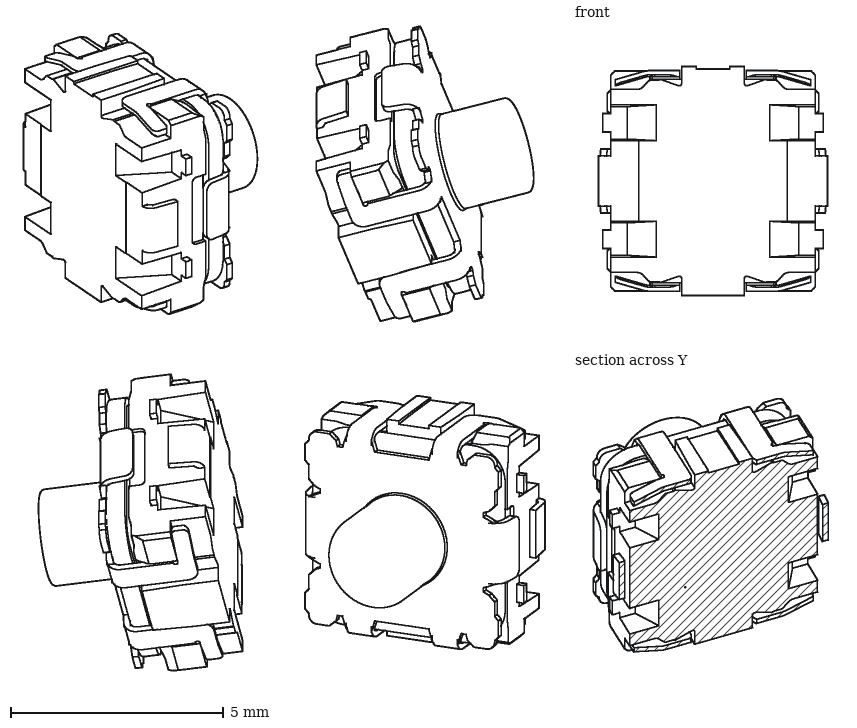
import cadquery as cq
import math


body_half_x = 2.41
corner_half_z = 2.59
wall_half_z = 2.39
body_top = 1.835
step_y = 0.84
ledge_z = 2.155
corner_chamfer = 0.095
corner_inner_x = 1.48
ledge_curve_x = 1.795
ledge_slope_start = (1.63, 2.235)
ledge_slope_end = (1.52, 2.355)
rib = ((1.465, 2.37), (1.285, 2.37))
dip_start_x = 1.235
dip = (0.82, 2.245)
dip_round_z = 2.285
bevel_profile = ((body_top, 2.415), (1.525, 2.58), (1.46, corner_half_z))
pad_drop = 0.055
pad_open = (1.745, 1.87)
pad_floor = (2.02, 2.115)

key_half_z = 2.7
key_half_x = 0.74
key_top_half_x = 0.695
key_slot_half_x = 0.39
key_slot_depth = 0.06
key_slot_top_depth = 0.08
key_slot_bend_y = 1.05

pocket_floor_y = 1.14
pocket_open_z = (0.95, 1.795)
pocket_floor_z = (0.99, 1.75)
pocket_open_x = 1.34
pocket_floor_x = 2.015
pin_thickness = 0.16
pin_z = (1.15, 1.595)
pin_half_x = 2.6

terminal_half_z = 0.595
terminal_thickness = 0.15
terminal_bottom = 0.015
terminal_bend_y = 0.26
terminal_bend_x = 2.655
terminal_tip_x = 2.7
strip_inner_x = 1.75

spacer_half = 2.16
spacer_corner = 0.43
block_bottom = 1.935
block_half = 2.4
block_corner = 0.805
block_edge_round = 0.085

cover_bottom = 2.385
cover_top = 2.545
cover_half = 2.4
cover_corner = 0.205
sheet = cover_top - cover_bottom
ear_x = 2.495
ear_z = (1.65, 2.06)
ear_slope = 0.1
relief_floor = 2.105
relief_lip = 0.145
side_relief_z = (0.885, 0.985, 1.05, 1.195)
outer_relief_x = (1.535, 1.66, 1.695, 1.87)
inner_relief_half_x = 0.695

side_arm_half_z = 0.755
side_arm_bottom = 1.7
side_arm_root_x = 2.245
side_arm_bend_x = 2.605
side_arm_bend_y = 2.205
side_arm_tip_x = 2.655
side_arm_corner = 0.185
side_recess_half_z = 0.89
side_recess_bottom = 1.45
side_recess_depth = 0.095
side_recess_corner = 0.125

arm_x = (0.785, 1.43)
arm_outer_z = 2.605
arm_thickness = 0.145
arm_bend_radius = 0.335
foot_bottom = 0.44
foot_corner = 0.28
foot_bevel_y = 0.085
foot_bevel_z = 0.045
foot_bend_x = (1.52, 1.59)
foot_bend_drop = 0.01
foot_tip_x = 2.3
foot_drop = 0.215
foot_tip_round = 0.135
foot_tip_top_round = 0.09
arm_relief = 0.055

button_radius = 1.15
button_top = 4.25
button_round = 0.095
button_flare = 0.025
button_flare_height = 0.075


def plan(y):
    """Sketch plane across the button axis, with local axes X and Z."""
    return cq.Workplane("XZ", origin=(0, y, 0))


def raise_to(outline, height):
    """Extrude a plan outline towards +Y."""
    return outline.extrude(-height)


def box(x, y, z):
    """Box spanning three (low, high) ranges."""
    size = [high - low for low, high in (x, y, z)]
    return cq.Workplane("XY").box(*size, centered=False).translate((x[0], y[0], z[0]))


def both_x(shape):
    return shape.union(shape.mirror("YZ"))


def both_z(shape):
    return shape.union(shape.mirror("XY"))


def four_corners(shape):
    return both_z(both_x(shape))


def leaning_pocket(mouth_y, mouth, floor_y, floor):
    """Pocket with sloping walls between two rectangles, each given by two opposite (X, Z) corners."""
    def rectangle(y, corners):
        (x0, z0), (x1, z1) = corners
        points = [(x0, y, z0), (x1, y, z0), (x1, y, z1), (x0, y, z1)]
        return cq.Wire.makePolygon([cq.Vector(*p) for p in points], close=True)

    return cq.Workplane(cq.Solid.makeLoft([rectangle(mouth_y, mouth), rectangle(floor_y, floor)], True))


def lower_housing():
    quarter = (
        plan(0)
        .lineTo(body_half_x, 0)
        .lineTo(body_half_x, ledge_z)
        .lineTo(ledge_curve_x, ledge_z)
        .tangentArcPoint(ledge_slope_start, relative=False)
        .lineTo(*ledge_slope_end)
        .tangentArcPoint(rib[0], relative=False)
        .lineTo(*rib[1])
        .lineTo(dip_start_x, wall_half_z)
        .lineTo(*dip)
        .tangentArcPoint((key_half_x, dip_round_z), relative=False)
        .lineTo(0, dip_round_z)
        .close()
    )
    return four_corners(raise_to(quarter, step_y))


def upper_housing():
    height = body_top - step_y
    wall = raise_to(plan(step_y).rect(2 * body_half_x, 2 * wall_half_z), height)
    corner = raise_to(
        plan(step_y)
        .moveTo(corner_inner_x, 0)
        .lineTo(body_half_x, 0)
        .lineTo(body_half_x, corner_half_z - corner_chamfer)
        .lineTo(body_half_x - corner_chamfer, corner_half_z)
        .lineTo(corner_inner_x, corner_half_z)
        .close(),
        height,
    )
    bevel = (
        cq.Workplane("YZ", origin=(corner_inner_x, 0, 0))
        .polyline([*bevel_profile, (body_top, corner_half_z)])
        .close()
        .extrude(body_half_x - corner_inner_x)
    )
    pad_outer = (body_half_x, corner_half_z)
    pad = leaning_pocket(body_top, (pad_open, pad_outer), body_top - pad_drop, (pad_floor, pad_outer))
    return wall.union(four_corners(corner.cut(bevel))).cut(four_corners(pad))


def keys():
    half_outline = [
        (0, 0), (key_half_x, 0), (key_half_x, step_y), (key_top_half_x, body_top), (0, body_top),
    ]
    key = both_x(cq.Workplane("XY").polyline(half_outline).close().extrude(key_half_z))
    slot_floor = key_half_z - key_slot_depth
    slot_profile = [
        (0, key_half_z), (0, slot_floor), (key_slot_bend_y, slot_floor),
        (body_top, key_half_z - key_slot_top_depth), (body_top, key_half_z),
    ]
    slot = cq.Workplane("YZ").polyline(slot_profile).close().extrude(key_slot_half_x, both=True)
    return both_z(key).cut(slot)


def pocket():
    mouth = ((pocket_open_x, pocket_open_z[0]), (body_half_x, pocket_open_z[1]))
    floor = ((pocket_floor_x, pocket_floor_z[0]), (body_half_x, pocket_floor_z[1]))
    return leaning_pocket(0, mouth, pocket_floor_y, floor)


def side_recess():
    recess = box(
        (body_half_x - side_recess_depth, body_half_x),
        (side_recess_bottom, body_top),
        (-side_recess_half_z, side_recess_half_z),
    )
    return recess.edges("|X and <Y").fillet(side_recess_corner)


def strip_relief():
    edge = pocket_floor_z[0]
    return box((strip_inner_x, body_half_x), (0, terminal_bottom), (-edge, edge))


def side_terminal():
    tip_inner_x = terminal_tip_x - terminal_thickness
    bend_inner_x = terminal_bend_x - terminal_thickness
    inner_y = terminal_bottom + terminal_thickness
    return (
        cq.Workplane("XY")
        .moveTo(strip_inner_x, terminal_bottom)
        .lineTo(body_half_x, terminal_bottom)
        .tangentArcPoint((terminal_bend_x, terminal_bend_y), relative=False)
        .lineTo(terminal_tip_x, step_y)
        .lineTo(tip_inner_x, step_y)
        .lineTo(bend_inner_x, terminal_bend_y)
        .lineTo(body_half_x, inner_y)
        .lineTo(strip_inner_x, inner_y)
        .close()
        .extrude(terminal_half_z, both=True)
    )


def pin():
    return box((pocket_open_x, pin_half_x), (pocket_floor_y, pocket_floor_y + pin_thickness), pin_z)


def contact_block():
    spacer_height = block_bottom - body_top
    spacer = raise_to(plan(body_top).rect(2 * spacer_half, 2 * spacer_half), spacer_height)
    block = raise_to(plan(block_bottom).rect(2 * block_half, 2 * block_half), cover_bottom - block_bottom)
    block = block.edges("|Y").fillet(block_corner).faces(">Y").edges().fillet(block_edge_round)
    return spacer.edges("|Y").fillet(spacer_corner).union(block)


def cover_plate():
    plate = raise_to(plan(cover_bottom).rect(2 * cover_half, 2 * cover_half), sheet)
    plate = plate.edges("|Y").fillet(cover_corner)
    ear = [
        (cover_half, ear_z[0] - ear_slope), (ear_x, ear_z[0]),
        (ear_x, ear_z[1]), (cover_half, ear_z[1] + ear_slope),
    ]
    plate = plate.union(four_corners(raise_to(plan(cover_bottom).polyline(ear).close(), sheet)))
    lip = cover_half - relief_lip
    side_relief = [
        (cover_half, side_arm_half_z), (relief_floor, side_relief_z[0]), (relief_floor, side_relief_z[1]),
        (lip, side_relief_z[2]), (cover_half, side_relief_z[3]),
    ]
    outer_relief = [
        (arm_x[1], cover_half), (outer_relief_x[0], relief_floor), (outer_relief_x[1], relief_floor),
        (outer_relief_x[2], lip), (outer_relief_x[3], cover_half),
    ]
    inner_relief = [
        (0, cover_half), (0, relief_floor), (inner_relief_half_x, relief_floor), (arm_x[0], cover_half),
    ]
    side_root = [
        (cover_half, 0), (relief_floor, 0), (relief_floor, side_arm_half_z), (cover_half, side_arm_half_z),
    ]
    arm_root = [
        (arm_x[0], cover_half), (arm_x[0], relief_floor), (arm_x[1], relief_floor), (arm_x[1], cover_half),
    ]
    for outline in (side_relief, outer_relief, inner_relief, side_root, arm_root):
        plate = plate.cut(four_corners(raise_to(plan(cover_bottom).polyline(outline).close(), sheet)))
    return plate


def side_arm():
    inner_radius = side_arm_bend_x - sheet - side_arm_root_x
    inner_bend_middle = (
        side_arm_root_x + inner_radius * math.sin(math.pi / 4),
        side_arm_bend_y + (cover_bottom - side_arm_bend_y) * math.cos(math.pi / 4),
    )
    arm = (
        cq.Workplane("XY")
        .moveTo(relief_floor - sheet, cover_top)
        .lineTo(side_arm_root_x, cover_top)
        .tangentArcPoint((side_arm_bend_x, side_arm_bend_y), relative=False)
        .lineTo(side_arm_tip_x, side_arm_bottom)
        .lineTo(side_arm_tip_x - sheet, side_arm_bottom)
        .lineTo(side_arm_bend_x - sheet, side_arm_bend_y)
        .threePointArc(inner_bend_middle, (side_arm_root_x, cover_bottom))
        .lineTo(relief_floor - sheet, cover_bottom)
        .close()
        .extrude(side_arm_half_z, both=True)
    )
    corners = box(
        (0, side_arm_tip_x), (side_arm_bottom, cover_top), (-side_arm_half_z, side_arm_half_z)
    ).edges("|X and <Y").fillet(side_arm_corner)
    return arm.intersect(corners)


def arm_face():
    """Flat shape of a Z-side arm with its foot, cut from a slab deep enough to hold the bends."""
    outline = (
        cq.Workplane("XY")
        .moveTo(arm_x[0], cover_top)
        .lineTo(arm_x[0], foot_bottom + foot_corner)
        .tangentArcPoint((arm_x[0] + foot_corner, foot_bottom), relative=False)
        .lineTo(foot_tip_x - foot_tip_round, foot_bottom)
        .tangentArcPoint((foot_tip_x, foot_bottom + foot_tip_round), relative=False)
        .lineTo(foot_tip_x, step_y - foot_tip_top_round)
        .tangentArcPoint((foot_tip_x - foot_tip_top_round, step_y), relative=False)
        .lineTo(arm_x[1], step_y)
        .lineTo(arm_x[1], cover_top)
        .close()
        .extrude(key_half_z)
    )
    relief = cq.Workplane("XY").center(arm_x[1], step_y + arm_relief).circle(arm_relief).extrude(key_half_z)
    return outline.cut(relief)


def foot_section(plane, thickness):
    """Closed section of the foot, which leans in towards the housing."""
    outer = [
        (foot_bend_x[0], arm_outer_z),
        (foot_bend_x[1], arm_outer_z - foot_bend_drop),
        (foot_tip_x, arm_outer_z - foot_drop),
    ]
    inner = [(x, z - thickness) for x, z in reversed(outer)]
    return plane.polyline(outer + inner).close()


def arm():
    inner_z = arm_outer_z - arm_thickness
    bend_y = cover_top - arm_bend_radius
    bend_z = arm_outer_z - arm_bend_radius
    inner_radius = arm_bend_radius - arm_thickness
    root_z = relief_floor - sheet
    side = (
        cq.Workplane("YZ")
        .moveTo(cover_top, root_z)
        .lineTo(cover_top, bend_z)
        .tangentArcPoint((bend_y, arm_outer_z), relative=False)
        .lineTo(foot_bottom, arm_outer_z)
        .lineTo(foot_bottom, inner_z + foot_bevel_z)
        .lineTo(foot_bottom + foot_bevel_y, inner_z)
        .lineTo(bend_y, inner_z)
        .tangentArcPoint((bend_y + inner_radius, bend_z), relative=False)
        .lineTo(bend_y + inner_radius, root_z)
        .close()
        .extrude(foot_bend_x[0])
    )
    bevel_top = foot_bottom + foot_bevel_y
    bevel = foot_section(plan(foot_bottom), arm_thickness - foot_bevel_z).workplane(offset=-foot_bevel_y)
    bevel = foot_section(bevel, arm_thickness).loft(ruled=True)
    foot = raise_to(foot_section(plan(bevel_top), arm_thickness), step_y - bevel_top).union(bevel)
    return side.union(foot).intersect(arm_face())


def button():
    flare_top = cover_top + button_flare_height
    return (
        cq.Workplane("XY")
        .moveTo(0, cover_bottom)
        .lineTo(button_radius + button_flare, cover_bottom)
        .lineTo(button_radius + button_flare, cover_top)
        .lineTo(button_radius, flare_top)
        .lineTo(button_radius, button_top - button_round)
        .tangentArcPoint((button_radius - button_round, button_top), relative=False)
        .lineTo(0, button_top)
        .close()
        .revolve(360, (0, 0, 0), (0, 1, 0))
    )


housing = lower_housing().union(upper_housing()).union(keys())
housing = housing.cut(four_corners(pocket())).cut(both_x(side_recess())).cut(both_x(strip_relief()))
housing = housing.union(four_corners(pin())).union(both_x(side_terminal()))
cover = cover_plate().union(both_x(side_arm())).union(four_corners(arm()))
result = housing.union(contact_block()).union(cover).union(button())